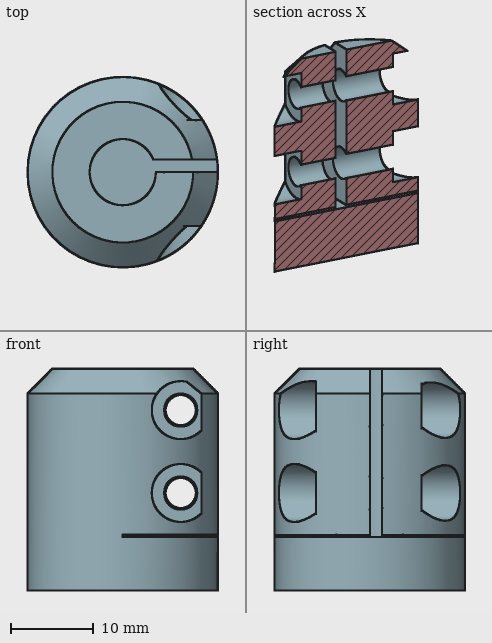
import cadquery as cq

height = 26.8
diameter = 23.0
chamfer = 3.0
radius = diameter / 2

bore_diameter = 7.99
bore_floor = 6.5
slit_height = 0.25
slot_width = 1.5

screw_x = 7.0
upper_screw_z = 21.8
screw_spacing = 10.0
clearance_diameter = 4.0
thread_diameter = 3.65
head_diameter = 7.0
nut_diameter = 6.7
front_seat_y = -6.5
rear_seat_y = 6.27


def cylinder_along_y(diameter, x, z, start_y, end_y):
    """Cylinder parallel to Y between two Y positions."""
    return cq.Workplane("XY").add(
        cq.Solid.makeCylinder(
            diameter / 2, end_y - start_y, cq.Vector(x, start_y, z), cq.Vector(0, 1, 0)
        )
    )


def make_body():
    body = cq.Workplane("XY").circle(radius).extrude(height)
    body = body.faces(">Z").edges().chamfer(chamfer)
    return body.rotate((0, 0, 0), (0, 0, 1), 180)


def cut_clamp(body):
    """Cut the bore, the radial slot and the horizontal slit, sharing one floor."""
    floor = cq.Workplane("XY").workplane(offset=bore_floor)
    depth = height - bore_floor
    bore = floor.circle(bore_diameter / 2).extrude(depth)
    slot = floor.rect(radius, slot_width, centered=False).extrude(depth)
    slit = floor.center(0, -radius).rect(radius, diameter, centered=False).extrude(slit_height)
    return body.cut(bore).cut(slot).cut(slit)


def cut_screw(body, z):
    """Cut a clearance hole, a threaded-side hole and a round seat at each end."""
    cuts = (
        (clearance_diameter, -radius, 0),
        (thread_diameter, 0, radius),
        (head_diameter, -radius, front_seat_y),
        (nut_diameter, rear_seat_y, radius),
    )
    for cut_diameter, start_y, end_y in cuts:
        body = body.cut(cylinder_along_y(cut_diameter, screw_x, z, start_y, end_y))
    return body


result = cut_clamp(make_body())
for screw_z in (upper_screw_z, upper_screw_z - screw_spacing):
    result = cut_screw(result, screw_z)